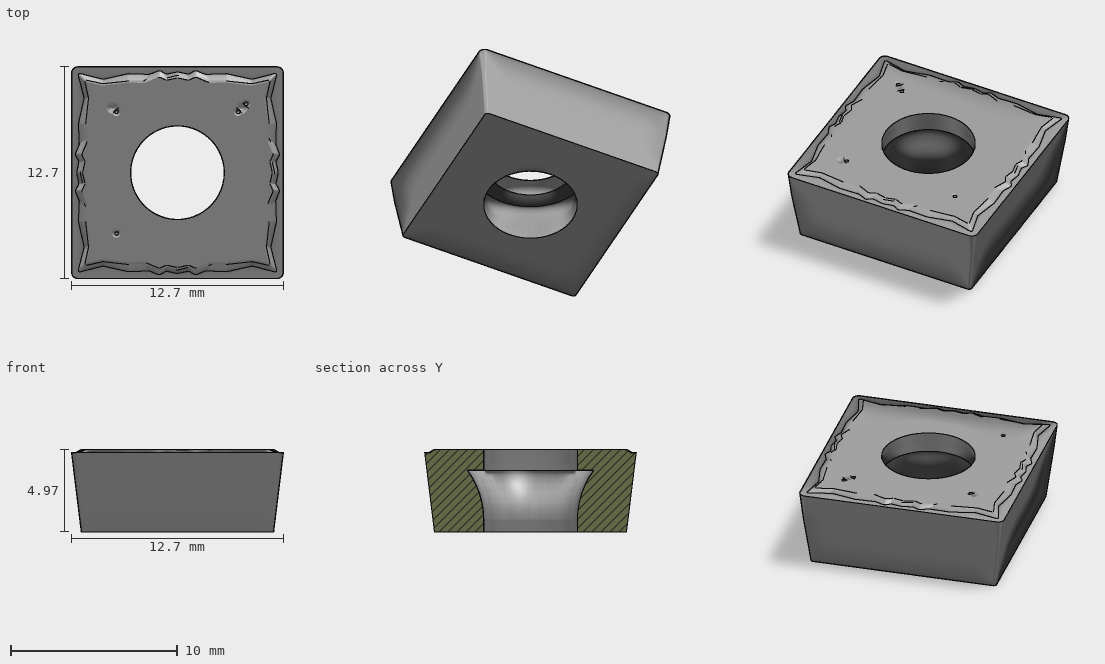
import cadquery as cq
import math

width = 12.7
height = 4.97
crest_height = 0.2
land_z = height - crest_height
clearance_angle = 7.0
clearance_slope = math.tan(math.radians(clearance_angle))

top_corner_radius = 0.4
corner_cone_depth = 1.65
lower_corner_radius = top_corner_radius - corner_cone_depth * clearance_slope

hole_radius = 5.6 / 2
chamber_top_z = height - 1.26
throat_z = 0.74
trumpet_radius = 5.0

edge_shoulder_z = height - 0.019
wave_shoulder_z = height - 0.045
valley_flat = 0.05
wave_flat = 0.1

small_dimple = (0.27, 0.108)
large_dimple = (0.35, 0.159)
dimple_rim_slope = math.tan(math.radians(15))
dimple_centre_depth = 0.04
near_dimple = 3.65
middle_dimple = 3.89
far_dimple = 4.13


def body_slice(z, corner_radius):
    """Rounded square outline of the body at height z."""
    side = width - 2 * (land_z - z) * clearance_slope
    outline = cq.Sketch().rect(side, side).vertices().fillet(corner_radius)
    return outline.moved(cq.Location(cq.Vector(0, 0, z)))


def tapered_block(z_low, radius_low, z_high, radius_high):
    slices = (body_slice(z_low, radius_low), body_slice(z_high, radius_high))
    return cq.Workplane("XY").placeSketch(*slices).loft(ruled=True)


def body():
    cone_z = land_z - corner_cone_depth
    lower = tapered_block(0, lower_corner_radius, cone_z, lower_corner_radius)
    upper = tapered_block(cone_z, lower_corner_radius, land_z, top_corner_radius)
    return lower.union(upper)


def wall_row(base, shoulder, crest, shoulder_z):
    """One row of points up the wall; each level is given as (along the side, out from the axis)."""
    return [(*base, land_z), (*shoulder, shoulder_z), (*crest, height)]


def flat_rows(along, base, shoulder, crest, flat, shoulder_z):
    """Two rows bounding the narrow flat of a ridge or valley that crosses the wall."""
    return [
        wall_row((place, base), (place, shoulder), (place, crest), shoulder_z)
        for place in (along + flat / 2, along - flat / 2)
    ]


def half_side_rows():
    """Rows of the wall on the +Y side, from the corner to the middle."""
    corner = wall_row((5.84, 5.94), (5.46, 5.55), (5.37, 5.41), edge_shoulder_z)
    corner_valley = flat_rows(4.46, 5.6, 5.33, 5.21, valley_flat, edge_shoulder_z)
    crown = wall_row((2.95, 5.93), (2.95, 5.5), (2.95, 5.4), edge_shoulder_z)
    crown_end = wall_row((1.8, 5.89), (2.03, 5.5), (2.02, 5.36), edge_shoulder_z)
    wave_start = wall_row((1.7, 5.88), (1.88, 5.58), (1.85, 5.41), wave_shoulder_z)
    wave_peak = flat_rows(1.09, 6.11, 5.82, 5.72, wave_flat, wave_shoulder_z)
    wave_valley = flat_rows(0.65, 5.92, 5.69, 5.55, wave_flat, wave_shoulder_z)
    middle_peak = flat_rows(0, 6.03, 5.82, 5.68, wave_flat, wave_shoulder_z)
    return [
        corner, *corner_valley, crown, crown_end, wave_start,
        *wave_peak, *wave_valley, middle_peak[0],
    ]


def side_edges(level):
    """Edges of the wall on the +Y side at one level, with the rounded corner at its end."""
    half = [cq.Vector(*row[level]) for row in half_side_rows()]
    mirrored = [cq.Vector(-point.x, point.y, point.z) for point in reversed(half)]
    points = half + mirrored
    edges = [cq.Edge.makeLine(a, b) for a, b in zip(points, points[1:])]

    start = points[-1]
    end = cq.Vector(-start.y, -start.x, start.z)
    radius = start.y + start.x
    reach = start.x - radius * math.sqrt(0.5)
    edges.append(cq.Edge.makeThreePointArc(start, cq.Vector(reach, -reach, start.z), end))
    return edges


def wall_ring(level):
    """Closed ring of wall edges around all four sides at one level."""
    origin = cq.Vector(0, 0, 0)
    axis = cq.Vector(0, 0, 1)
    side = side_edges(level)
    return [edge.rotate(origin, axis, 90 * turn) for turn in range(4) for edge in side]


def chip_breaker():
    """Raised top with a wavy sloped wall and a bevelled rim."""
    rings = [wall_ring(level) for level in range(3)]
    faces = [cq.Face.makeFromWires(cq.Wire.assembleEdges(ring)) for ring in (rings[0], rings[-1])]
    for lower, upper in zip(rings, rings[1:]):
        faces += [cq.Face.makeRuledSurface(a, b) for a, b in zip(lower, upper)]
    solid = cq.Solid.makeSolid(cq.Shell.makeShell(faces))
    return cq.Workplane(solid.fix())


def hole():
    """Hole whose chamber wall curves inward, going down, until it meets the throat."""
    def trumpet_point(angle):
        return (
            hole_radius + trumpet_radius * (1 - math.cos(angle)),
            throat_z + trumpet_radius * math.sin(angle),
        )

    full_angle = math.asin((chamber_top_z - throat_z) / trumpet_radius)
    return (
        cq.Workplane("XZ")
        .lineTo(hole_radius, 0)
        .lineTo(hole_radius, throat_z)
        .threePointArc(trumpet_point(full_angle / 2), trumpet_point(full_angle))
        .lineTo(hole_radius, chamber_top_z)
        .lineTo(hole_radius, height)
        .lineTo(0, height)
        .close()
        .revolve(360, (0, 0), (0, 1))
    )


def dimple(x, y, size):
    """Shallow recess: a conical rim around a rounded centre."""
    rim, inner = size
    inner_depth = (rim - inner) * dimple_rim_slope
    tip_depth = inner_depth + dimple_centre_depth
    sphere_radius = (inner**2 + dimple_centre_depth**2) / (2 * dimple_centre_depth)
    return (
        cq.Workplane("XZ")
        .lineTo(rim, 0)
        .lineTo(inner, -inner_depth)
        .radiusArc((0, -tip_depth), sphere_radius)
        .close()
        .revolve(360, (0, 0), (0, 1))
        .translate((x, y, height))
    )


insert = body().union(chip_breaker()).cut(hole())

for x_side, y_side, distance, size in (
    (-1, -1, near_dimple, small_dimple),
    (-1, 1, near_dimple, small_dimple),
    (-1, 1, middle_dimple, large_dimple),
    (1, 1, near_dimple, small_dimple),
    (1, 1, middle_dimple, large_dimple),
    (1, 1, far_dimple, small_dimple),
):
    insert = insert.cut(dimple(x_side * distance, y_side * distance, size))

result = cq.Workplane(insert.solids().val())